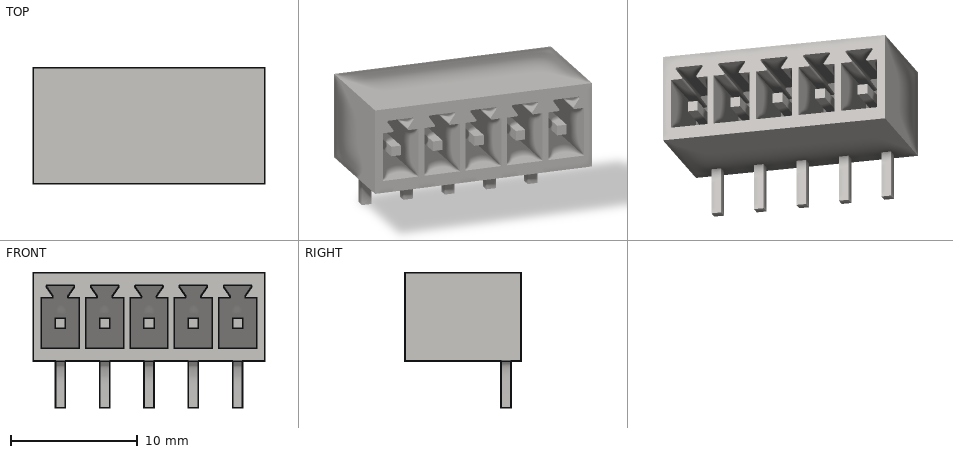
import cadquery as cq

BODY_LENGTH = 18.3
BODY_DEPTH = 9.2
BODY_HEIGHT = 7.0

POLE_COUNT = 5
PITCH = 3.5

CAVITY_WIDTH = 3.0
CAVITY_FLOOR_Z = 1.0
CAVITY_CEILING_Z = 5.0
CAVITY_DEPTH = 7.0

KEYWAY_TOP_Z = 6.0
KEYWAY_TOP_WIDTH = 2.4
KEYWAY_NECK_WIDTH = 1.0
KEYWAY_RADIUS = 0.1

PIN_SIZE = 0.8
PIN_AXIS_Z = 3.0
PIN_TIP_Y = 1.0
LEG_AXIS_FROM_BACK = 1.2
LEG_AXIS_Y = BODY_DEPTH - LEG_AXIS_FROM_BACK
LEG_BACK_Y = LEG_AXIS_Y + PIN_SIZE / 2
LEG_LENGTH = 3.7

ALIGN_FRONT = (True, False, False)


def make_body():
    return cq.Workplane("XY").box(BODY_LENGTH, BODY_DEPTH, BODY_HEIGHT, centered=ALIGN_FRONT)


def make_cavity(x):
    """Rectangular plug opening with a rounded dovetail keyway in its ceiling."""
    half_width = CAVITY_WIDTH / 2
    half_neck = KEYWAY_NECK_WIDTH / 2
    half_top = KEYWAY_TOP_WIDTH / 2
    outline = [
        (-half_width, CAVITY_FLOOR_Z),
        (half_width, CAVITY_FLOOR_Z),
        (half_width, CAVITY_CEILING_Z),
        (half_neck, CAVITY_CEILING_Z),
        (half_top, KEYWAY_TOP_Z),
        (-half_top, KEYWAY_TOP_Z),
        (-half_neck, CAVITY_CEILING_Z),
        (-half_width, CAVITY_CEILING_Z),
    ]
    cavity = cq.Workplane("XZ").polyline(outline).close().extrude(-CAVITY_DEPTH)

    keyway_zone = cq.selectors.BoxSelector(
        (-half_top - KEYWAY_RADIUS, 0, CAVITY_CEILING_Z - KEYWAY_RADIUS),
        (half_top + KEYWAY_RADIUS, CAVITY_DEPTH, KEYWAY_TOP_Z + KEYWAY_RADIUS),
    )
    cavity = cavity.edges("|Y").edges(keyway_zone).fillet(KEYWAY_RADIUS)
    return cavity.translate((x, 0, 0))


def make_pin(x):
    """Horizontal contact joined at the back to a leg that passes down through the housing."""
    contact = (
        cq.Workplane("XY")
        .box(PIN_SIZE, LEG_BACK_Y - PIN_TIP_Y, PIN_SIZE, centered=ALIGN_FRONT)
        .translate((x, PIN_TIP_Y, PIN_AXIS_Z - PIN_SIZE / 2))
    )
    leg_height = LEG_LENGTH + PIN_AXIS_Z + PIN_SIZE / 2
    leg = (
        cq.Workplane("XY")
        .box(PIN_SIZE, PIN_SIZE, leg_height, centered=ALIGN_FRONT)
        .translate((x, LEG_AXIS_Y - PIN_SIZE / 2, -LEG_LENGTH))
    )
    return contact.union(leg)


result = make_body()
for pole in range(POLE_COUNT):
    pole_x = (pole - (POLE_COUNT - 1) / 2) * PITCH
    result = result.cut(make_cavity(pole_x)).union(make_pin(pole_x))